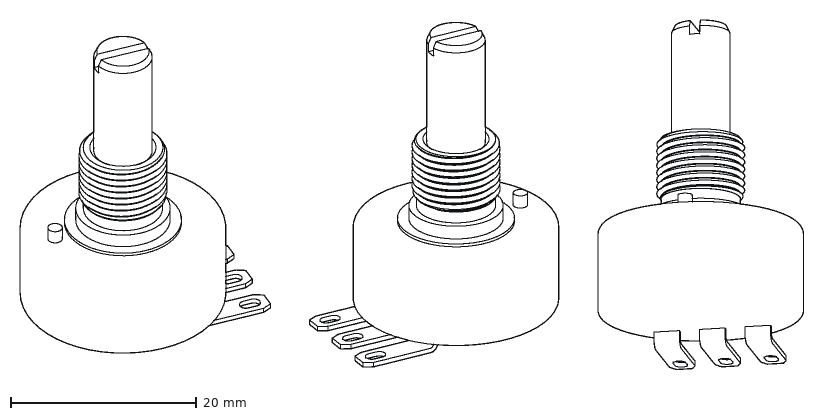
import cadquery as cq

BODY_BOTTOM = 1.77
BODY_TOP = 11.5
WASHER_TOP = 11.83
COLLAR_TOP = 13.35
THREAD_BOTTOM = 14.7
BUSHING_TOP = 21.35
SHAFT_TOP = 34.0
PIN_TOP = 12.95

BODY_RADIUS = 11.1
BODY_TOP_FILLET = 0.8
BODY_BOTTOM_FILLET = 0.5
WASHER_RADIUS = 6.32
COLLAR_RADIUS = 5.1
BUSHING_RADIUS = 4.28
COUNTERSINK_RADIUS = 3.57
PIN_RADIUS = 0.78
PIN_Y = -7.95

SHAFT_RADIUS = 3.15
SHAFT_CHAMFER_HEIGHT = 0.7
SHAFT_CHAMFER_WIDTH = 0.35
SLOT_WIDTH = 1.12
SLOT_DEPTH = 1.63

THREAD_RADIUS = 4.75
THREAD_TURNS = 8.4
THREAD_PITCH = (BUSHING_TOP - THREAD_BOTTOM) / THREAD_TURNS
RIDGE_BASE = 0.7
RIDGE_EMBED = 0.05
THREAD_PHASE = 0.17
THREAD_LEAD_IN = 0.55
THREAD_END_RADIUS = BUSHING_RADIUS + RIDGE_EMBED
ENVELOPE_CLEARANCE = 0.15

TERMINAL_SPACING = 5.03
TERMINAL_WIDTH = 2.82
TERMINAL_THICKNESS = 0.55
TERMINAL_LEG_Y = 5.8
TERMINAL_TIP_Y = 14.8
BEND_RADIUS = 1.0
TIP_CHAMFER_LENGTH = 1.02
TIP_CHAMFER_WIDTH = 0.5
EYE_WIDTH = 1.35
EYE_LENGTH = 2.3
EYE_Y = 12.75


def cylinder(radius, bottom, top, y=0.0):
    """Upright cylinder between two levels."""
    return cq.Workplane("XY", origin=(0, y, bottom)).circle(radius).extrude(top - bottom)


def make_body():
    """Round housing with rounded rims."""
    body = cylinder(BODY_RADIUS, BODY_BOTTOM, BODY_TOP)
    body = body.faces(">Z").edges().fillet(BODY_TOP_FILLET)
    return body.faces("<Z").edges().fillet(BODY_BOTTOM_FILLET)


def make_bushing():
    """Washer, collar and threaded neck, countersunk around the shaft."""
    countersink_depth = COUNTERSINK_RADIUS - SHAFT_RADIUS
    countersink = (
        cq.Workplane("XY", origin=(0, 0, BUSHING_TOP))
        .circle(COUNTERSINK_RADIUS)
        .workplane(offset=-countersink_depth)
        .circle(SHAFT_RADIUS)
        .loft()
    )
    return (
        cylinder(WASHER_RADIUS, BODY_TOP, WASHER_TOP)
        .union(cylinder(COLLAR_RADIUS, BODY_TOP, COLLAR_TOP))
        .union(cylinder(BUSHING_RADIUS, BODY_TOP, BUSHING_TOP))
        .cut(countersink)
    )


def make_thread():
    """Helical ridge, trimmed by a short cone at each end."""
    start = THREAD_BOTTOM + THREAD_PHASE - THREAD_PITCH
    turns = int((BUSHING_TOP - start) / THREAD_PITCH) + 2
    root_radius = BUSHING_RADIUS - RIDGE_EMBED
    flank_slope = (RIDGE_BASE / 2) / (THREAD_RADIUS - BUSHING_RADIUS)
    half_root = flank_slope * (THREAD_RADIUS - root_radius)
    helix = cq.Wire.makeHelix(THREAD_PITCH, turns * THREAD_PITCH, BUSHING_RADIUS, cq.Vector(0, 0, start))
    ridge = (
        cq.Workplane("XZ")
        .polyline([
            (root_radius, start - half_root),
            (THREAD_RADIUS, start),
            (root_radius, start + half_root),
        ])
        .close()
        .sweep(cq.Workplane(helix), isFrenet=True)
    )
    cone_slope = THREAD_LEAD_IN / (THREAD_RADIUS - THREAD_END_RADIUS)
    envelope_radius = THREAD_RADIUS + ENVELOPE_CLEARANCE
    cone_length = cone_slope * (envelope_radius - THREAD_END_RADIUS)
    envelope = (
        cq.Workplane("XZ")
        .polyline([
            (0, THREAD_BOTTOM),
            (THREAD_END_RADIUS, THREAD_BOTTOM),
            (envelope_radius, THREAD_BOTTOM + cone_length),
            (envelope_radius, BUSHING_TOP - cone_length),
            (THREAD_END_RADIUS, BUSHING_TOP),
            (0, BUSHING_TOP),
        ])
        .close()
        .revolve(360, (0, 0, 0), (0, 1, 0))
    )
    return ridge.intersect(envelope)


def make_shaft():
    """Shaft with a chamfered, slotted tip."""
    shaft = cylinder(SHAFT_RADIUS, BODY_TOP, SHAFT_TOP)
    shaft = shaft.faces(">Z").chamfer(SHAFT_CHAMFER_HEIGHT, SHAFT_CHAMFER_WIDTH)
    slot = (
        cq.Workplane("XY", origin=(0, 0, SHAFT_TOP - SLOT_DEPTH))
        .rect(SLOT_WIDTH, 2 * SHAFT_RADIUS)
        .extrude(SLOT_DEPTH)
    )
    return shaft.cut(slot)


def make_terminal(x):
    """Bent strip centred on x: a leg down from the body, then a flat lug with an oblong eye."""
    leg_outer_y = TERMINAL_LEG_Y + TERMINAL_THICKNESS
    leg_top = BODY_BOTTOM + TERMINAL_THICKNESS
    strip = (
        cq.Workplane("YZ", origin=(x - TERMINAL_WIDTH / 2, 0, 0))
        .polyline([
            (TERMINAL_LEG_Y, 0),
            (TERMINAL_TIP_Y, 0),
            (TERMINAL_TIP_Y, TERMINAL_THICKNESS),
            (leg_outer_y, TERMINAL_THICKNESS),
            (leg_outer_y, leg_top),
            (TERMINAL_LEG_Y, leg_top),
        ])
        .close()
        .extrude(TERMINAL_WIDTH)
    )
    inner_bend = cq.selectors.NearestToPointSelector((x, leg_outer_y, TERMINAL_THICKNESS))
    strip = strip.edges("|X").edges(inner_bend).fillet(BEND_RADIUS - TERMINAL_THICKNESS)
    outer_bend = cq.selectors.NearestToPointSelector((x, TERMINAL_LEG_Y, 0))
    strip = strip.edges("|X").edges(outer_bend).fillet(BEND_RADIUS)
    half_width = TERMINAL_WIDTH / 2
    for side in (-1, 1):
        corner = (
            cq.Workplane("XY", origin=(x, 0, 0))
            .polyline([
                (side * half_width, TERMINAL_TIP_Y),
                (side * (half_width - TIP_CHAMFER_WIDTH), TERMINAL_TIP_Y),
                (side * half_width, TERMINAL_TIP_Y - TIP_CHAMFER_LENGTH),
            ])
            .close()
            .extrude(TERMINAL_THICKNESS)
        )
        strip = strip.cut(corner)
    eye = (
        cq.Workplane("XY", origin=(x, EYE_Y, 0))
        .slot2D(EYE_LENGTH, EYE_WIDTH, 90)
        .extrude(TERMINAL_THICKNESS)
    )
    return strip.cut(eye)


result = make_body().union(make_bushing()).union(make_thread()).union(make_shaft())
result = result.union(cylinder(PIN_RADIUS, BODY_TOP, PIN_TOP, PIN_Y))
for terminal_x in (-TERMINAL_SPACING, 0, TERMINAL_SPACING):
    result = result.union(make_terminal(terminal_x))